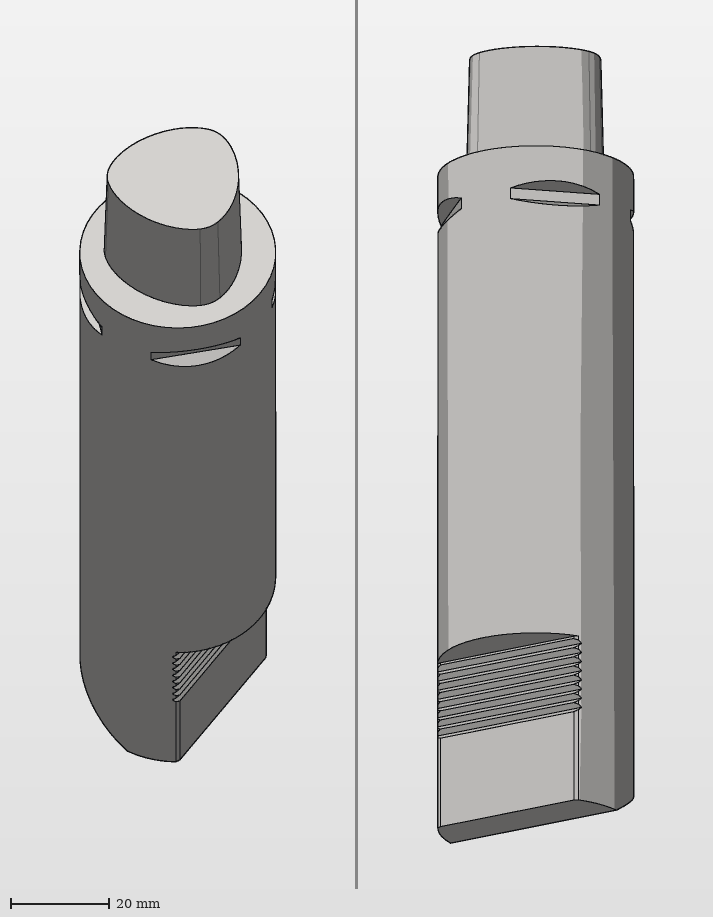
import cadquery as cq
import math

total_length = 164.0
body_diameter = 40.0
body_length = 140.0
shank_length = total_length - body_length
body_radius = body_diameter / 2

shank_width = 28.0
shank_taper = 0.05
lobe_height = 1.0
lobe_count = 3
lobe_half_angle = 18.0
first_lobe_angle = 90.0
points_per_face = 9

notch_count = 4
first_notch_angle = 45.0
notch_floor_radius = 17.7
notch_center_height = 130.0
notch_floor_width = 2.3
notch_mouth_width = 5.2

seat_height = 35.3
seat_offset = 11.0
serration_count = 8
serration_pitch = 2.0
serration_depth = 1.0
serration_land = 0.5
bevel_width = 0.7
bevel_drop = 0.41

relief_angle = 30.0
relief_start = 0.8


def lobed_point(mean_radius, normal_angle):
    """Point of the lobed curve where its outward normal has the given angle."""
    lobe_phase = math.radians(lobe_count * (normal_angle - first_lobe_angle))
    outward = mean_radius + lobe_height * math.cos(lobe_phase)
    sideways = -lobe_count * lobe_height * math.sin(lobe_phase)
    cosine = math.cos(math.radians(normal_angle))
    sine = math.sin(math.radians(normal_angle))
    return cq.Vector(outward * cosine - sideways * sine, outward * sine + sideways * cosine)


def lobed_edge(mean_radius, start_angle, end_angle, height):
    """Stretch of the lobed curve between two normal angles."""
    step = (end_angle - start_angle) / (points_per_face - 1)
    points = [lobed_point(mean_radius, start_angle + i * step) for i in range(points_per_face)]
    return cq.Edge.makeSpline([point + cq.Vector(0, 0, height) for point in points])


def lobed_wire(mean_radius, height):
    """Closed lobed outline made of a lobe stretch and a side stretch for each lobe."""
    lobe_spacing = 360.0 / lobe_count
    edges = []
    for i in range(lobe_count):
        lobe_angle = first_lobe_angle + i * lobe_spacing
        lobe_start = lobe_angle - lobe_half_angle
        lobe_end = lobe_angle + lobe_half_angle
        edges.append(lobed_edge(mean_radius, lobe_start, lobe_end, height))
        edges.append(lobed_edge(mean_radius, lobe_end, lobe_start + lobe_spacing, height))
    return cq.Wire.assembleEdges(edges)


def make_shank():
    """Tapered three-lobed shank standing on the body."""
    large_radius = shank_width / 2
    small_radius = large_radius - shank_taper * shank_length / 2
    large_end = lobed_wire(large_radius, body_length)
    small_end = lobed_wire(small_radius, total_length)
    return cq.Workplane(cq.Solid.makeLoft([large_end, small_end], True))


def make_notch(angle):
    """Cutter for one straight notch with a flat floor and flared walls."""
    floor_half = notch_floor_width / 2
    mouth_half = notch_mouth_width / 2
    profile = [
        (notch_floor_radius, notch_center_height - floor_half),
        (body_radius, notch_center_height - mouth_half),
        (body_radius, notch_center_height + mouth_half),
        (notch_floor_radius, notch_center_height + floor_half),
    ]
    cutter = cq.Workplane("XZ").polyline(profile).close().extrude(body_radius, both=True)
    return cutter.rotate((0, 0, 0), (0, 0, 1), angle)


def make_seat():
    """Cutter for the flat seat together with its V-shaped serrations."""
    profile = [(body_radius, 0), (body_radius, seat_height), (seat_offset, seat_height)]
    for i in range(serration_count):
        groove_top = seat_height - serration_land - i * serration_pitch
        profile.append((seat_offset, groove_top))
        profile.append((seat_offset - serration_depth, groove_top - serration_pitch / 2))
    profile.append((seat_offset, seat_height - serration_land - serration_count * serration_pitch))
    profile.append((seat_offset, 0))
    return cq.Workplane("XZ").polyline(profile).close().extrude(body_radius, both=True)


def make_seat_bevels():
    """Cutter for the narrow bevels where the seat face meets the round surface."""
    bevel_offset = seat_offset - bevel_drop
    seat_half_width = math.sqrt(body_radius**2 - seat_offset**2)
    bevel_half_width = math.sqrt(body_radius**2 - bevel_offset**2)
    profile = [
        (seat_offset, seat_half_width - bevel_width),
        (bevel_offset, bevel_half_width),
        (seat_offset, bevel_half_width),
    ]
    bevel = cq.Workplane("XY").polyline(profile).close().extrude(seat_height)
    return bevel.union(bevel.mirror("XZ"))


def make_relief():
    """Cutter for the slanted face at the lower end."""
    relief_height = (body_radius + relief_start) * math.tan(math.radians(relief_angle))
    profile = [(relief_start, 0), (-body_radius, 0), (-body_radius, relief_height)]
    return cq.Workplane("XZ").polyline(profile).close().extrude(body_radius, both=True)


def make_body():
    """Cylindrical body with gripper notches, serrated seat and slanted relief."""
    body = cq.Workplane("XY").circle(body_radius).extrude(body_length)
    for i in range(notch_count):
        body = body.cut(make_notch(first_notch_angle + i * 360.0 / notch_count))
    return body.cut(make_seat()).cut(make_seat_bevels()).cut(make_relief())


shank = make_shank()
body = make_body()

result = cq.Compound.makeCompound([shank.val(), *body.solids().vals()])